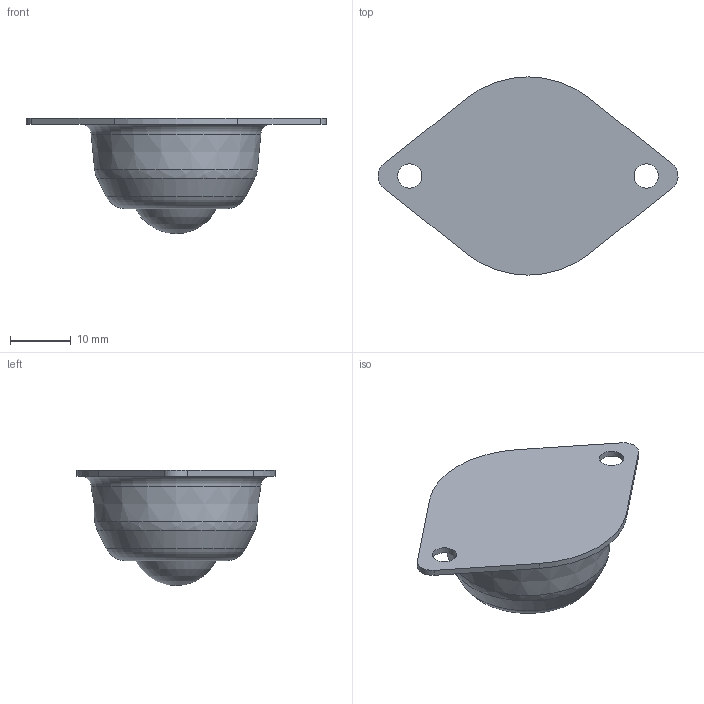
import cadquery as cq
import math

plate_length = 49.48
plate_width = 32.7
plate_thickness = 1.0
ear_radius = 2.5
hole_diameter = 4.0
hole_spacing = 39.0

cup_mouth_radius = 15.2
cup_neck_radius = 14.0
cup_neck_depth = 2.6
cup_waist_radius = 13.35
cup_waist_depth = 9.2
cup_base_depth = 14.88
cup_base_radius = 10.5
mouth_flare_radius = 1.8
waist_blend_radius = 4.0
base_blend_radius = 3.5

selection_margin = 0.1

ball_radius = 7.5
overall_height = 19.0


def make_plate():
    middle_radius = plate_width / 2
    ear_center = plate_length / 2 - ear_radius
    normal_x = (middle_radius - ear_radius) / ear_center
    normal_y = math.sqrt(1 - normal_x**2)
    middle_x = middle_radius * normal_x
    middle_y = middle_radius * normal_y
    ear_x = ear_center + ear_radius * normal_x
    ear_y = ear_radius * normal_y
    return (
        cq.Workplane("XY")
        .moveTo(-middle_x, middle_y)
        .threePointArc((0, middle_radius), (middle_x, middle_y))
        .lineTo(ear_x, ear_y)
        .threePointArc((plate_length / 2, 0), (ear_x, -ear_y))
        .lineTo(middle_x, -middle_y)
        .threePointArc((0, -middle_radius), (-middle_x, -middle_y))
        .lineTo(-ear_x, -ear_y)
        .threePointArc((-plate_length / 2, 0), (-ear_x, ear_y))
        .close()
        .extrude(-plate_thickness)
    )


def circle_at_depth(depth, radius):
    """Selector for the circular edge of the cup at the given depth and radius."""
    reach = radius + selection_margin
    return cq.selectors.BoxSelector(
        (-reach, -reach, -depth - selection_margin),
        (reach, reach, -depth + selection_margin),
        boundingbox=True,
    )


def make_cup():
    cup = (
        cq.Workplane("XZ")
        .moveTo(0, -plate_thickness)
        .lineTo(cup_mouth_radius, -plate_thickness)
        .radiusArc((cup_neck_radius, -cup_neck_depth), -mouth_flare_radius)
        .lineTo(cup_waist_radius, -cup_waist_depth)
        .lineTo(cup_base_radius, -cup_base_depth)
        .lineTo(0, -cup_base_depth)
        .close()
        .revolve(360, (0, 0, 0), (0, 1, 0))
    )
    cup = cup.edges(circle_at_depth(cup_base_depth, cup_base_radius)).fillet(base_blend_radius)
    return cup.edges(circle_at_depth(cup_waist_depth, cup_waist_radius)).fillet(waist_blend_radius)


def make_ball():
    ball_center_z = ball_radius - overall_height
    return cq.Workplane("XY").sphere(ball_radius).translate((0, 0, ball_center_z))


def drill_holes(body):
    hole_centers = [(-hole_spacing / 2, 0), (hole_spacing / 2, 0)]
    holes = cq.Workplane("XY").pushPoints(hole_centers).circle(hole_diameter / 2).extrude(-plate_thickness)
    return body.cut(holes)


result = drill_holes(make_plate().union(make_cup()).union(make_ball()))